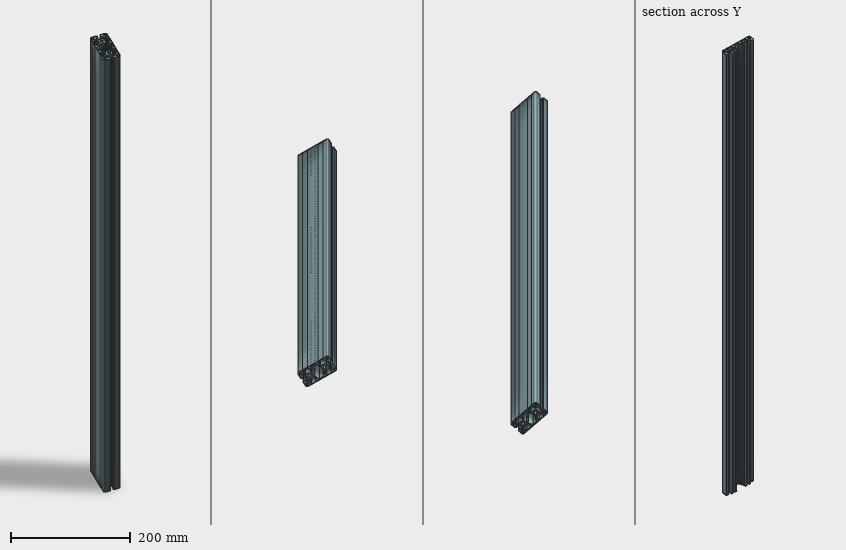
import cadquery as cq

length = 1000.0
cell = 30.0
corner_radius = 3.0

open_mouth_width = 5.0
bevel = 1.5
skin = 1.0
closed_mouth_width = 10.0
lip = 5.0
chamber_width = 13.0
chamber_side = 3.0
slot_depth = 9.5

core_bore = 5.0

corner_hollow = 3.0
corner_wall = 2.5

cavity_half_width = 9.5
cavity_end = 5.0
cavity_roof = 8.0
cavity_wall = 2.0

cell_center = cell / 2
chamber_taper = slot_depth - lip - chamber_side
chamber_floor_width = chamber_width - 2 * chamber_taper
corner_inset = corner_wall + corner_hollow / 2
both_sides = (-1, 1)

closed_rim = [
    (closed_mouth_width / 2, skin),
    (closed_mouth_width / 2, lip),
]
open_rim = [
    (open_mouth_width / 2 + bevel, 0),
    (open_mouth_width / 2, bevel),
    (open_mouth_width / 2, lip),
]


def bar(outline):
    """Prism of full length over a closed outline."""
    return cq.Workplane("XY").polyline(outline).close().extrude(length)


def slot(rim, center_x, turn):
    """T-slot of one cell, drawn on its -Y side and turned about the cell centre."""
    half = rim + [
        (chamber_width / 2, lip),
        (chamber_width / 2, lip + chamber_side),
        (chamber_floor_width / 2, slot_depth),
    ]
    right = [(x, depth - cell_center) for x, depth in half]
    left = [(-x, y) for x, y in reversed(right)]
    return bar(right + left).rotate((0, 0, 0), (0, 0, 1), turn).translate((center_x, 0, 0))


def cavity():
    """Eight-sided hollow between the cores."""
    roof = cell_center - cavity_wall
    upper = [
        (cavity_half_width, cavity_end / 2),
        (cavity_roof / 2, roof),
        (-cavity_roof / 2, roof),
        (-cavity_half_width, cavity_end / 2),
    ]
    lower = [(-x, -y) for x, y in upper]
    return bar(upper + lower)


def core_bores():
    centers = [(side * cell_center, 0) for side in both_sides]
    return cq.Workplane("XY").pushPoints(centers).circle(core_bore / 2).extrude(length)


def corner_hollows():
    spacing_x = 2 * (cell - corner_inset)
    spacing_y = 2 * (cell_center - corner_inset)
    centers = cq.Workplane("XY").rarray(spacing_x, spacing_y, 2, 2)
    return centers.rect(corner_hollow, corner_hollow).extrude(length)


body = cq.Workplane("XY").rect(2 * cell, cell).extrude(length)
body = body.edges("|Z").fillet(corner_radius)
body = body.cut(cavity()).cut(core_bores()).cut(corner_hollows())

for side in both_sides:
    slot_x = side * cell_center
    body = body.cut(slot(closed_rim, slot_x, 0))
    body = body.cut(slot(closed_rim, slot_x, 180))
    body = body.cut(slot(open_rim, slot_x, side * 90))

result = body